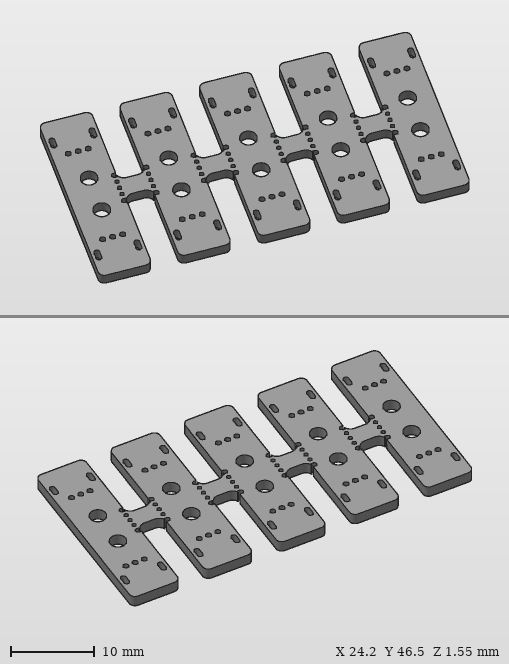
import cadquery as cq

panel_length = 46.55
plate_width = 24.2
thickness = 1.55
corner_radius = 0.8
plate_count = 5
gap = 3.45
plate_depth = (panel_length - (plate_count - 1) * gap) / plate_count
pitch = plate_depth + gap

large_hole_diameter = 2.1
large_hole_x = 2.5
pin_hole_diameter = 0.7
pin_hole_x = 6.8
pin_hole_spacing = 1.25
slot_length = 1.5
slot_width = 0.7
slot_x = 8.9
slot_y = 2.5

neck_waist_width = 2.5
neck_end_width = 3.9
neck_straight_length = 1.4
bite_hole_diameter = 0.5
bite_hole_spacing = 1.0
bite_hole_inset = 0.255
notch_width = 0.6
notch_depth = 0.6
notch_x = 2.0

plate_centers = [(i - (plate_count - 1) / 2) * pitch for i in range(plate_count)]
gap_centers = [y + pitch / 2 for y in plate_centers[:-1]]


def make_plate(center_y):
    """Rounded plate with its round holes and the slots near its ends."""
    plate = (
        cq.Workplane("XY")
        .center(0, center_y)
        .rect(plate_width, plate_depth)
        .extrude(thickness)
        .edges("|Z")
        .fillet(corner_radius)
    )
    large_holes = [(side * large_hole_x, center_y) for side in (-1, 1)]
    pin_holes = [
        (side * pin_hole_x, center_y + row * pin_hole_spacing)
        for side in (-1, 1)
        for row in (-1, 0, 1)
    ]
    slots = [
        (side * slot_x, center_y + edge * slot_y)
        for side in (-1, 1)
        for edge in (-1, 1)
    ]
    base = cq.Workplane("XY")
    return (
        plate
        .cut(base.pushPoints(large_holes).circle(large_hole_diameter / 2).extrude(thickness))
        .cut(base.pushPoints(pin_holes).circle(pin_hole_diameter / 2).extrude(thickness))
        .cut(base.pushPoints(slots).slot2D(slot_length, slot_width).extrude(thickness))
    )


def make_neck(center_y):
    """Bridge across one gap: straight waist sides that flare out by arcs at both ends."""
    half_end = neck_end_width / 2
    half_waist = neck_waist_width / 2
    half_straight = neck_straight_length / 2
    flare_rise = gap / 2 - half_straight
    flare_out = half_end - half_waist
    flare_radius = (flare_rise**2 + flare_out**2) / (2 * flare_out)
    return (
        cq.Workplane("XY")
        .center(0, center_y)
        .moveTo(-half_end, -gap / 2)
        .lineTo(half_end, -gap / 2)
        .radiusArc((half_waist, -half_straight), flare_radius)
        .lineTo(half_waist, half_straight)
        .radiusArc((half_end, gap / 2), flare_radius)
        .lineTo(-half_end, gap / 2)
        .radiusArc((-half_waist, half_straight), flare_radius)
        .lineTo(-half_waist, -half_straight)
        .radiusArc((-half_end, -gap / 2), flare_radius)
        .close()
        .extrude(thickness)
    )


def make_breakaway_cuts(center_y):
    """Rows of small holes and round-ended notches in both plate edges of one gap."""
    bite_holes = []
    notch_ends = []
    notch_bodies = []
    notch_straight = notch_depth - notch_width / 2
    for edge in (-1, 1):
        edge_y = center_y + edge * gap / 2
        for column in (-1, 0, 1):
            bite_holes.append((column * bite_hole_spacing, edge_y + edge * bite_hole_inset))
        for side in (-1, 1):
            notch_ends.append((side * notch_x, edge_y + edge * notch_straight))
            notch_bodies.append((side * notch_x, edge_y + edge * notch_straight / 2))
    base = cq.Workplane("XY")
    return (
        base.pushPoints(bite_holes).circle(bite_hole_diameter / 2).extrude(thickness)
        .union(base.pushPoints(notch_ends).circle(notch_width / 2).extrude(thickness))
        .union(base.pushPoints(notch_bodies).rect(notch_width, notch_straight).extrude(thickness))
    )


result = make_plate(plate_centers[0])
for y in plate_centers[1:]:
    result = result.union(make_plate(y))
for y in gap_centers:
    result = result.union(make_neck(y))
for y in gap_centers:
    result = result.cut(make_breakaway_cuts(y))